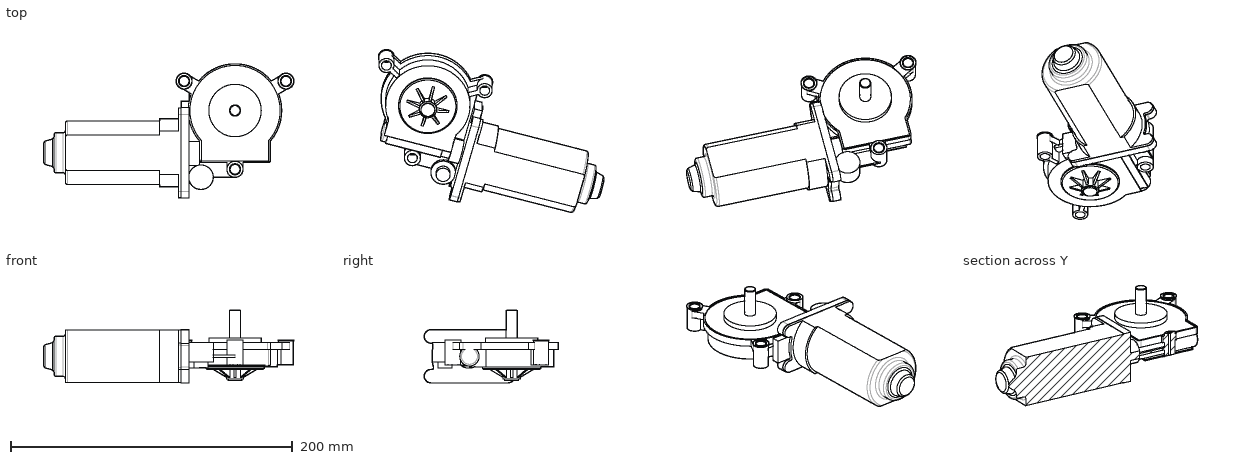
import cadquery as cq
import math

MOTOR_Y = -30.0

NOSE_TIP_X = -136.01
COLLAR_FRONT_X = -128.5
CAN_FRONT_X = -120.5
CAN_STEP_X = -53.6
CAN_REAR_X = -40.2
CAN_RADIUS = 22.6
CAN_REAR_RADIUS = 24.2
CAN_EDGE_ROUND = 1.5
CAN_HEIGHT = 37.4
COLLAR_RADIUS = 28.6 / 2
COLLAR_ROUND = 1.4
COLLAR_FLARE = 1.7
NOSE_TIP_RADIUS = 7.0
NOSE_FRONT_RADIUS = 8.4
NOSE_REAR_RADIUS = 9.8
NOSE_FLARE_RADIUS = 11.4
NOSE_TIP_LENGTH = 1.2
NOSE_FLARE_LENGTH = 1.1

FLANGE_SPLIT_X = -38.2
FLANGE_REAR_X = -32.6
FLANGE_WIDTH = 64.5
FLANGE_HEIGHT = 38.0
FLANGE_WAIST_RADIUS = 26.8
FLANGE_EAR_RADIUS = 4.9
FLANGE_NOTCH_ROUND = 1.2
FLANGE_INSET = 0.3
PLATE_TOP_Y = 6.7
PLATE_HEIGHT = 17.9

CAP_TOP_Z = 9.9
CAP_BOTTOM_Z = 4.7
CAP_RADIUS = 33.25
CAP_HALF_WIDTH = 25.1
CAP_FRONT_Y = -36.9
CAP_CORNER_ROUND = 2.2
RIM_WIDTH = 1.2
RIM_DEPTH = 0.5
BODY_RADIUS = 30.0
BODY_BOTTOM_Z = -7.5
WORM_RADIUS = MOTOR_Y - CAP_FRONT_Y
NECK_Y = -30.5
NECK_RADIUS = 8.45
WORM_END_ROUND = 1.2
LEDGE_BOTTOM_Z = 2.4
LEDGE_BACK_Y = 15.0
LEDGE_FRONT_Y = NECK_Y + NECK_RADIUS
STRIP_LEFT_X = -19.0
STRIP_RIGHT_X = 21.4
STRIP_FRONT_Y = -35.8
STRIP_TOP_Z = -6.1
STRIP_BOTTOM_Z = -7.0

DISC_RADIUS = 37.25 / 2
DISC_TOP_Z = 13.1
SHAFT_RADIUS = 7.95 / 2
SHAFT_TOP_Z = 32.95
SHAFT_CHAMFER = 0.5

BASE_RADIUS = 20.8
BASE_BOTTOM_Z = -9.4
BASE_CHAMFER = 0.9
HUB_RADIUS = 12.26 / 2
RIB_BOTTOM_Z = -14.9
HUB_STEP_Z = -16.25
HUB_END_RADIUS = 9.9 / 2
HUB_BOTTOM_Z = -17.3
RIB_COUNT = 8
RIB_THICKNESS = 1.6
RIB_REACH = 15.3

BOSS_CIRCLE_RADIUS = 41.75
BOSS_ANGLES = (30, 150, 270)
LIPPED_BOSS_ANGLES = (30, 150)
BOSS_RADIUS = 11.5 / 2
LIPPED_BOSS_RADIUS = 10.7 / 2
BOSS_TOP_Z = 11.6
BOSS_BOTTOM_Z = -6.1
BOSS_HOLE_RADIUS = 6.9 / 2
BOSS_MOUTH_RADIUS = 7.95 / 2
BOSS_LIP_HEIGHT = 0.8
ARM_START_RADIUS = 25.0
WEB_THICKNESS = 3.2

POST_X = -24.15
POST_Y = -47.4
POST_RADIUS = 17.5 / 2
POST_BOTTOM_Z = -4.0
POST_FOOT_RADIUS = 10.0 / 2
POST_FOOT_BOTTOM_Z = -8.3
POST_WEB_THICKNESS = 2.0


def block(x_min, x_max, y_min, y_max, z_min, z_max):
    size = (x_max - x_min, y_max - y_min, z_max - z_min)
    return cq.Workplane("XY").box(*size, centered=False).translate((x_min, y_min, z_min))


def upright_cylinder(radius, z_min, z_max, x=0.0, y=0.0):
    return cq.Workplane("XY", origin=(x, y, z_min)).circle(radius).extrude(z_max - z_min)


def cylinder_along_x(radius, x_min, x_max, y=MOTOR_Y):
    return cq.Workplane("YZ", origin=(x_min, y, 0)).circle(radius).extrude(x_max - x_min)


def make_can():
    front = cylinder_along_x(CAN_RADIUS, CAN_FRONT_X, CAN_STEP_X).faces("<X").edges().fillet(CAN_EDGE_ROUND)
    rear = cylinder_along_x(CAN_REAR_RADIUS, CAN_STEP_X, CAN_REAR_X)
    flats = block(
        CAN_FRONT_X, CAN_REAR_X,
        MOTOR_Y - CAN_REAR_RADIUS, MOTOR_Y + CAN_REAR_RADIUS,
        -CAN_HEIGHT / 2, CAN_HEIGHT / 2,
    )
    return front.union(rear).intersect(flats)


def make_nose():
    arc_sag = 1 - math.sqrt(0.5)
    profile = (
        cq.Workplane("XY", origin=(0, MOTOR_Y, 0))
        .moveTo(NOSE_TIP_X, 0)
        .lineTo(NOSE_TIP_X, NOSE_TIP_RADIUS)
        .lineTo(NOSE_TIP_X + NOSE_TIP_LENGTH, NOSE_FRONT_RADIUS)
        .lineTo(COLLAR_FRONT_X - NOSE_FLARE_LENGTH, NOSE_REAR_RADIUS)
        .lineTo(COLLAR_FRONT_X, NOSE_FLARE_RADIUS)
        .lineTo(COLLAR_FRONT_X, COLLAR_RADIUS - COLLAR_ROUND)
        .threePointArc(
            (COLLAR_FRONT_X + COLLAR_ROUND * arc_sag, COLLAR_RADIUS - COLLAR_ROUND * arc_sag),
            (COLLAR_FRONT_X + COLLAR_ROUND, COLLAR_RADIUS),
        )
        .lineTo(CAN_FRONT_X - COLLAR_FLARE, COLLAR_RADIUS)
        .threePointArc(
            (CAN_FRONT_X - COLLAR_FLARE * arc_sag, COLLAR_RADIUS + COLLAR_FLARE * arc_sag),
            (CAN_FRONT_X, COLLAR_RADIUS + COLLAR_FLARE),
        )
        .lineTo(CAN_FRONT_X, 0)
        .close()
    )
    return profile.revolve(360, (0, 0, 0), (1, 0, 0))


def flange_layer(x_min, x_max, inset):
    """Plate with four rounded ears and a waist that follows the motor can."""
    length = x_max - x_min
    ear_radius = FLANGE_EAR_RADIUS - inset
    ear_y = FLANGE_WIDTH / 2 - FLANGE_EAR_RADIUS
    ear_z = FLANGE_HEIGHT / 2 - FLANGE_EAR_RADIUS
    ear_centres = [(y, z) for y in (-ear_y, ear_y) for z in (-ear_z, ear_z)]
    notch_height = 2 * (ear_z - ear_radius)
    plane = cq.Workplane("YZ", origin=(x_min, MOTOR_Y, 0))
    plate = plane.rect(2 * ear_y, FLANGE_HEIGHT - 2 * inset).extrude(length)
    plate = plate.cut(plane.rect(FLANGE_WIDTH, notch_height).extrude(length))
    waist = plane.circle(FLANGE_WAIST_RADIUS - inset).extrude(length)
    waist = waist.intersect(plane.rect(FLANGE_WIDTH, FLANGE_HEIGHT - 2 * inset).extrude(length))
    plate = plate.union(waist)
    notch_roots = cq.selectors.BoxSelector(
        (x_min, MOTOR_Y - FLANGE_WAIST_RADIUS, -notch_height),
        (x_max, MOTOR_Y + FLANGE_WAIST_RADIUS, notch_height),
    )
    plate = plate.edges("|X").edges(notch_roots).fillet(FLANGE_NOTCH_ROUND)
    return plate.union(plane.pushPoints(ear_centres).circle(ear_radius).extrude(length))


def make_flange():
    front = flange_layer(CAN_REAR_X, FLANGE_SPLIT_X, FLANGE_INSET)
    rear = flange_layer(FLANGE_SPLIT_X, FLANGE_REAR_X, 0.0)
    backing_plate = block(
        FLANGE_SPLIT_X, FLANGE_REAR_X, MOTOR_Y, PLATE_TOP_Y, -PLATE_HEIGHT / 2, PLATE_HEIGHT / 2
    )
    return front.union(rear).union(backing_plate)


def cap_layer(inset, z_min, z_max):
    """Round cap joined to a rectangular front, with the whole outline moved inward by inset."""
    half_width = CAP_HALF_WIDTH - inset
    front = block(-half_width, half_width, CAP_FRONT_Y + inset, 0, z_min, z_max)
    return upright_cylinder(CAP_RADIUS - inset, z_min, z_max).union(front)


def make_cap():
    cap = cap_layer(0.0, CAP_BOTTOM_Z, CAP_TOP_Z)
    cap = cap.edges("|Z and <Y").fillet(CAP_CORNER_ROUND)
    return cap


def make_body():
    body = upright_cylinder(BODY_RADIUS, BODY_BOTTOM_Z, CAP_BOTTOM_Z)
    body = body.union(
        block(-CAP_HALF_WIDTH, CAP_HALF_WIDTH - WORM_END_ROUND, MOTOR_Y, 0, BODY_BOTTOM_Z, CAP_BOTTOM_Z)
    )
    worm = cylinder_along_x(WORM_RADIUS, -CAP_HALF_WIDTH, CAP_HALF_WIDTH)
    worm = worm.faces(">X").edges().fillet(WORM_END_ROUND)
    neck = cylinder_along_x(NECK_RADIUS, FLANGE_REAR_X, -CAP_HALF_WIDTH, NECK_Y)
    ledge = block(
        FLANGE_REAR_X, -ARM_START_RADIUS, LEDGE_FRONT_Y, LEDGE_BACK_Y, LEDGE_BOTTOM_Z, CAP_BOTTOM_Z
    )
    strip = block(
        STRIP_LEFT_X, STRIP_RIGHT_X, STRIP_FRONT_Y, MOTOR_Y, STRIP_BOTTOM_Z, STRIP_TOP_Z
    )
    return body.union(worm).union(neck).union(ledge).union(strip)


def make_output():
    disc = upright_cylinder(DISC_RADIUS, CAP_BOTTOM_Z, DISC_TOP_Z)
    shaft = upright_cylinder(SHAFT_RADIUS, CAP_BOTTOM_Z, SHAFT_TOP_Z)
    return disc.union(shaft.faces(">Z").chamfer(SHAFT_CHAMFER))


def make_hub():
    base = upright_cylinder(BASE_RADIUS, BASE_BOTTOM_Z, BODY_BOTTOM_Z)
    hub = base.faces("<Z").chamfer(BASE_CHAMFER)
    hub = hub.union(upright_cylinder(HUB_RADIUS, HUB_STEP_Z, BODY_BOTTOM_Z))
    hub = hub.union(upright_cylinder(HUB_END_RADIUS, HUB_BOTTOM_Z, HUB_STEP_Z))
    rib = (
        cq.Workplane("XZ")
        .moveTo(0, BASE_BOTTOM_Z)
        .lineTo(RIB_REACH, BASE_BOTTOM_Z)
        .lineTo(HUB_RADIUS, RIB_BOTTOM_Z)
        .lineTo(0, RIB_BOTTOM_Z)
        .close()
        .extrude(RIB_THICKNESS / 2, both=True)
    )
    for index in range(RIB_COUNT):
        hub = hub.union(rib.rotate((0, 0, 0), (0, 0, 1), index * 360 / RIB_COUNT))
    return hub


def make_boss(angle):
    """Boss with its arm and web, built along -X and turned to its angle."""
    has_lip = angle in LIPPED_BOSS_ANGLES
    radius = LIPPED_BOSS_RADIUS if has_lip else BOSS_RADIUS
    boss = upright_cylinder(radius, BOSS_BOTTOM_Z, BOSS_TOP_Z, -BOSS_CIRCLE_RADIUS)
    arm = block(-BOSS_CIRCLE_RADIUS, -ARM_START_RADIUS, -radius, radius, CAP_BOTTOM_Z, CAP_TOP_Z)
    web = block(
        -BOSS_CIRCLE_RADIUS, -ARM_START_RADIUS,
        -WEB_THICKNESS / 2, WEB_THICKNESS / 2,
        BOSS_BOTTOM_Z, CAP_BOTTOM_Z,
    )
    boss = boss.union(arm).union(web)
    if has_lip:
        lip = upright_cylinder(
            BOSS_RADIUS, BOSS_TOP_Z - BOSS_LIP_HEIGHT, BOSS_TOP_Z, -BOSS_CIRCLE_RADIUS
        )
        boss = boss.union(lip.faces("<Z").chamfer(BOSS_RADIUS - LIPPED_BOSS_RADIUS))
    return boss.rotate((0, 0, 0), (0, 0, 1), angle + 180)


def make_boss_hole(angle):
    hole = upright_cylinder(BOSS_HOLE_RADIUS, BOSS_BOTTOM_Z, BOSS_TOP_Z, -BOSS_CIRCLE_RADIUS)
    mouth_depth = BOSS_MOUTH_RADIUS - BOSS_HOLE_RADIUS
    mouth = upright_cylinder(
        BOSS_MOUTH_RADIUS, BOSS_TOP_Z - mouth_depth, BOSS_TOP_Z, -BOSS_CIRCLE_RADIUS
    )
    return hole.union(mouth).rotate((0, 0, 0), (0, 0, 1), angle + 180)


def make_post():
    post = upright_cylinder(POST_RADIUS, POST_BOTTOM_Z, CAP_TOP_Z, POST_X, POST_Y)
    foot = upright_cylinder(POST_FOOT_RADIUS, POST_FOOT_BOTTOM_Z, POST_BOTTOM_Z, POST_X, POST_Y)
    web = block(
        FLANGE_REAR_X, 0,
        -BOSS_CIRCLE_RADIUS - BOSS_RADIUS, MOTOR_Y,
        -POST_WEB_THICKNESS / 2, POST_WEB_THICKNESS / 2,
    )
    return post.union(foot).union(web)


gearbox = make_cap().union(make_body())
for boss_angle in BOSS_ANGLES:
    gearbox = gearbox.union(make_boss(boss_angle))
gearbox = gearbox.cut(cap_layer(RIM_WIDTH, CAP_TOP_Z - RIM_DEPTH, BOSS_TOP_Z))
gearbox = gearbox.union(make_output()).union(make_hub()).union(make_post())
for boss_angle in BOSS_ANGLES:
    gearbox = gearbox.cut(make_boss_hole(boss_angle))

result = make_can().union(make_nose()).union(make_flange()).union(gearbox)